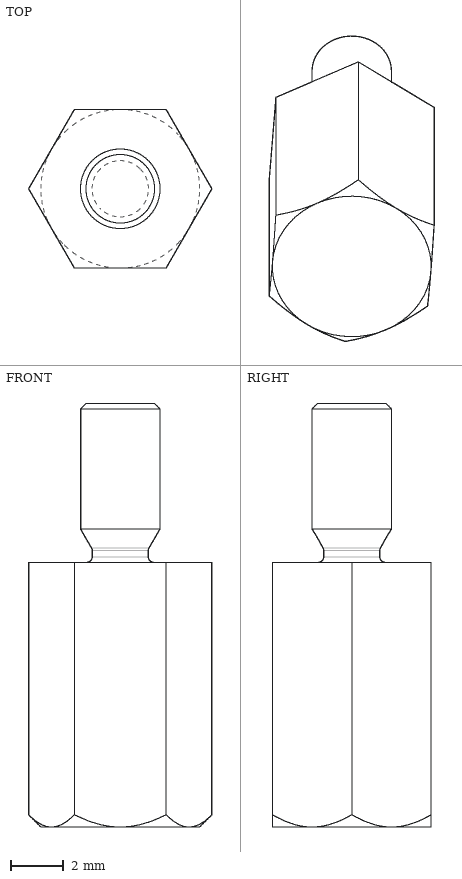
import cadquery as cq
import math

total_height = 16.0
hex_height = 10.0
across_flats = 6.0
across_corners = across_flats / math.cos(math.radians(30))

stud_diameter = 3.0
stud_tip_chamfer = 0.2
neck_diameter = 2.13
neck_fillet = 0.2
neck_length = 0.5
taper_angle = 30.0

corner_chamfer_angle = 45.0


def hexagonal_body():
    """Hexagonal prism whose lower corners are trimmed by a cone."""
    prism = cq.Workplane("XY").polygon(6, across_corners).extrude(hex_height)
    flat_radius = across_flats / 2
    corner_radius = across_corners / 2
    chamfer_height = (corner_radius - flat_radius) * math.tan(math.radians(corner_chamfer_angle))
    envelope = (
        cq.Workplane("XZ")
        .moveTo(0, 0)
        .lineTo(flat_radius, 0)
        .lineTo(corner_radius, chamfer_height)
        .lineTo(corner_radius, hex_height)
        .lineTo(0, hex_height)
        .close()
        .revolve(360, (0, 0), (0, 1))
    )
    return prism.intersect(envelope)


def stud():
    """Round stud with a chamfered tip and a filleted, tapered undercut neck."""
    stud_radius = stud_diameter / 2
    neck_radius = neck_diameter / 2
    neck_top = hex_height + neck_length
    taper = math.radians(taper_angle)
    taper_top = neck_top + (stud_radius - neck_radius) / math.tan(taper)
    fillet_center = (neck_radius + neck_fillet, hex_height + neck_fillet)
    fillet_offset = neck_fillet * math.sqrt(0.5)
    fillet_middle = (fillet_center[0] - fillet_offset, fillet_center[1] - fillet_offset)

    blend_tangent = neck_fillet * math.tan(taper / 2)
    blend_start = (neck_radius, neck_top - blend_tangent)
    blend_middle = (
        neck_radius + neck_fillet * (1 - math.cos(taper / 2)),
        blend_start[1] + neck_fillet * math.sin(taper / 2),
    )
    blend_end = (
        neck_radius + blend_tangent * math.sin(taper),
        neck_top + blend_tangent * math.cos(taper),
    )
    return (
        cq.Workplane("XZ")
        .moveTo(0, hex_height)
        .lineTo(neck_radius + neck_fillet, hex_height)
        .threePointArc(fillet_middle, (neck_radius, hex_height + neck_fillet))
        .lineTo(*blend_start)
        .threePointArc(blend_middle, blend_end)
        .lineTo(stud_radius, taper_top)
        .lineTo(stud_radius, total_height - stud_tip_chamfer)
        .lineTo(stud_radius - stud_tip_chamfer, total_height)
        .lineTo(0, total_height)
        .close()
        .revolve(360, (0, 0), (0, 1))
    )


result = hexagonal_body().union(stud())